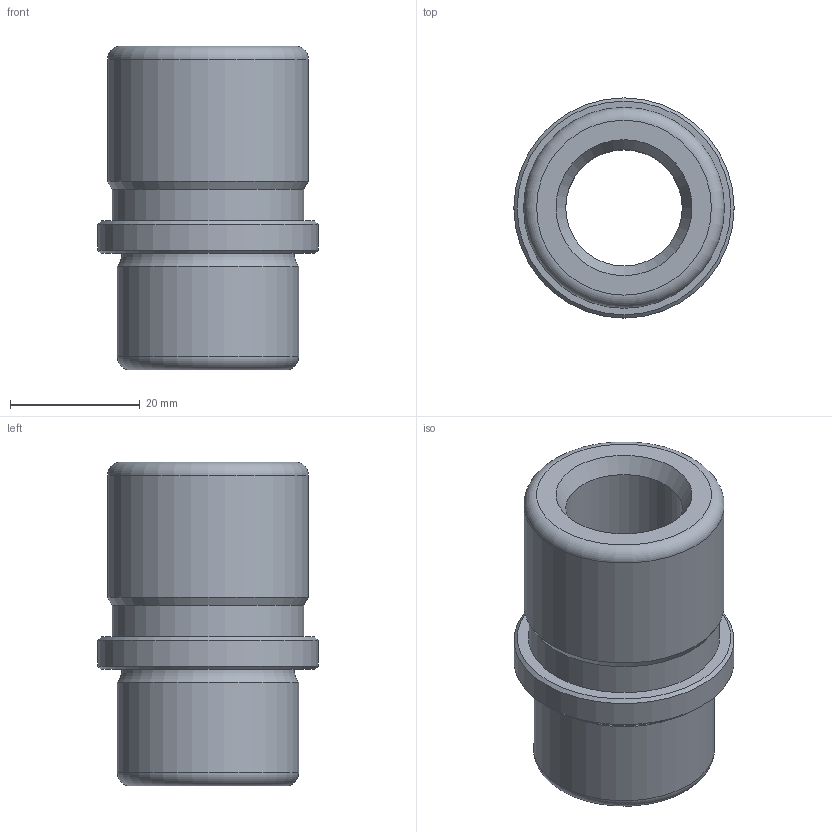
import cadquery as cq

total_length = 50.0
bore_radius = 18.0 / 2

spigot_radius = 28.0 / 2
spigot_edge_radius = 2.0
relief_radius = 26.6 / 2
relief_length = 2.0
relief_depth = spigot_radius - relief_radius
relief_arc_radius = (relief_length**2 + relief_depth**2) / (2 * relief_depth)

collar_radius = 34.0 / 2
collar_bottom_z = 18.0
collar_thickness = 5.0
collar_chamfer = 0.5
collar_top_z = collar_bottom_z + collar_thickness

neck_radius = 29.6 / 2
neck_length = 4.9
body_radius = 31.0 / 2
body_edge_radius = 2.0
body_taper_length = 1.2
neck_top_z = collar_top_z + neck_length

mouth_radius = 21.0 / 2
mouth_depth = 2.6


def make_collar():
    """Locating flange with both outer edges chamfered."""
    collar = cq.Workplane("XY").workplane(offset=collar_bottom_z).circle(collar_radius)
    return collar.extrude(collar_thickness).edges().chamfer(collar_chamfer)


def make_spigot():
    """Lower cylinder with a rounded end and a relief under the collar."""
    relief_start_z = collar_bottom_z - relief_length
    profile = (
        cq.Workplane("XZ")
        .lineTo(spigot_radius, 0)
        .lineTo(spigot_radius, relief_start_z)
        .radiusArc((relief_radius, collar_bottom_z), relief_arc_radius)
        .lineTo(0, collar_bottom_z)
        .close()
    )
    return profile.revolve(360, (0, 0), (0, 1)).faces("<Z").edges().fillet(spigot_edge_radius)


def make_upper_body():
    """Neck above the collar, widening through a short cone to the rounded top."""
    profile = (
        cq.Workplane("XZ")
        .moveTo(0, collar_top_z)
        .lineTo(neck_radius, collar_top_z)
        .lineTo(neck_radius, neck_top_z)
        .lineTo(body_radius, neck_top_z + body_taper_length)
        .lineTo(body_radius, total_length)
        .lineTo(0, total_length)
        .close()
    )
    return profile.revolve(360, (0, 0), (0, 1)).faces(">Z").edges().fillet(body_edge_radius)


def make_bore():
    """Through bore with its conical mouth."""
    profile = (
        cq.Workplane("XZ")
        .lineTo(bore_radius, 0)
        .lineTo(bore_radius, total_length - mouth_depth)
        .lineTo(mouth_radius, total_length)
        .lineTo(0, total_length)
        .close()
    )
    return profile.revolve(360, (0, 0), (0, 1))


result = make_spigot().union(make_collar()).union(make_upper_body()).cut(make_bore())